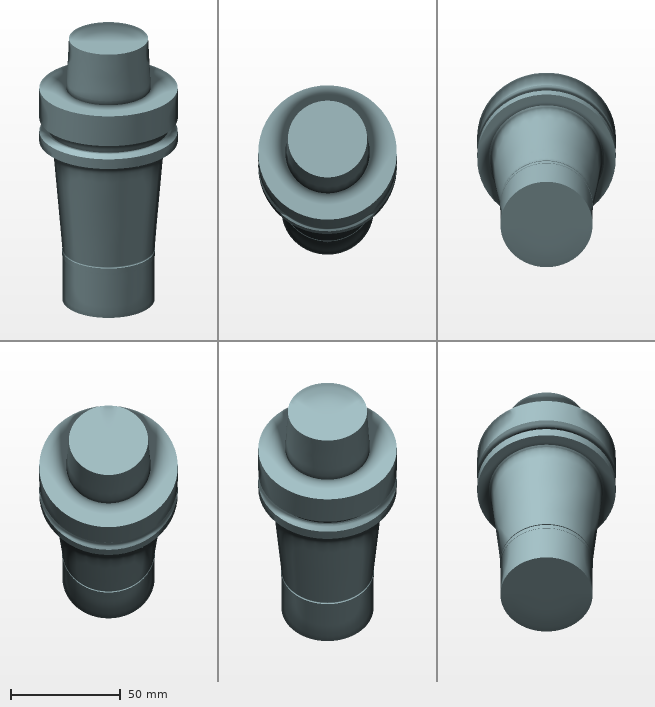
import cadquery as cq

total_length = 130.0

shank_dia = 42.0
collar_dia = 42.2
relief_dia = 32.4
body_bottom_dia = 42.0
body_top_dia = 51.0
neck_top_dia = 52.5
flange_dia = 63.0
groove_mouth_dia = 57.6
groove_floor_dia = 55.0
taper_base_dia = 38.4

shank_length = 22.2
collar_length = 2.5
relief_length = 0.8
body_length = 52.8
neck_length = 0.8
lower_flange_length = 4.8
groove_chamfer_length = 1.5
groove_floor_length = 3.5
upper_flange_length = 14.8
taper_base_length = 2.0

taper_ratio = 1 / 10

lower_sections = [
    (shank_dia, shank_dia, shank_length),
    (collar_dia, collar_dia, collar_length),
    (relief_dia, relief_dia, relief_length),
    (body_bottom_dia, body_top_dia, body_length),
    (body_top_dia, neck_top_dia, neck_length),
]
flange_sections = [
    (flange_dia, flange_dia, lower_flange_length),
    (flange_dia, groove_mouth_dia, groove_chamfer_length),
    (groove_floor_dia, groove_floor_dia, groove_floor_length),
    (groove_mouth_dia, flange_dia, groove_chamfer_length),
    (flange_dia, flange_dia, upper_flange_length),
]
taper_base_section = (taper_base_dia, taper_base_dia, taper_base_length)
sections = lower_sections + flange_sections + [taper_base_section]

taper_length = total_length - sum(length for _, _, length in sections)
taper_top_dia = taper_base_dia - taper_ratio * taper_length
sections.append((taper_base_dia, taper_top_dia, taper_length))


def profile_points(stack):
    """Half outline (radius, height) of the stacked sections, closed along the axis."""
    height = -total_length / 2
    points = [(0, height)]
    for bottom_dia, top_dia, length in stack:
        bottom_point = (bottom_dia / 2, height)
        if bottom_point != points[-1]:
            points.append(bottom_point)
        height += length
        points.append((top_dia / 2, height))
    points.append((0, height))
    return points


result = cq.Workplane("XZ").polyline(profile_points(sections)).close().revolve(360, (0, 0), (0, 1))